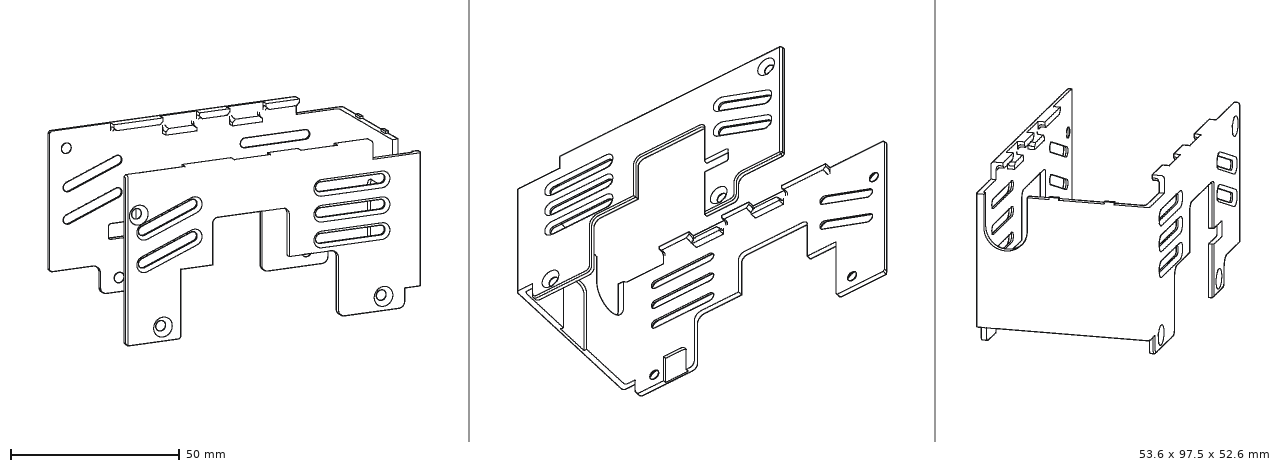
import cadquery as cq
WIDTH = 53.6
LENGTH = 97.5
HEIGHT = 52.65
WALL = 1.7
BACK_WALL = 1.95
INNER_HALF = WIDTH / 2 - WALL

BEND_RADIUS = 1.0
RIM_BEVEL = 0.5
FRONT_BEVEL = 0.6
TINY = 0.01

STEP_Y = LENGTH - 16.0
BACK_TOP = 47.3
BACK_BOTTOM = 6.0
REAR_LEG_BACK = LENGTH - 5.6
REAR_LEG_FRONT = LENGTH - 27.4
ARCH_BACK = LENGTH - 43.7
FRONT_LEG_BACK = 28.6
LOW_ARCH_TOP = 20.8
ARCH_TOP = 36.0
LEFT_NOTCH_Y = 16.9
LEFT_NOTCH_TOP = 9.1
RIGHT_NOTCH_Y = 18.0
RIGHT_NOTCH_TOP = 21.45
TOE_RADIUS = 1.95
RIGHT_TOE_RADIUS = 1.0
FRONT_ARCH_RADIUS = 1.6
REAR_ARCH_RADIUS = 2.1
LOW_ARCH_RADIUS = 2.6
NOTCH_RADIUS = 2.6

CLIP_SLOT_BOTTOM = 16.6
CLIP_SLOT_TOP = 21.45
CLIP_SLOT_END = 19.5
CLIP_SLOT_RADIUS = 0.8

VENT_WIDTH = 3.0
VENT_SINK = 1.1
SINK_TAPER = 45
REAR_VENT_LENGTH = 22.9
REAR_VENT_Y = LENGTH - 23.0
REAR_VENT_MID_Z = 32.7
REAR_VENT_PITCH = 8.0
FRONT_VENT_LENGTH = 20.5
FRONT_VENT_TILT = 20.5
FRONT_VENT_Y = 14.2
FRONT_VENT_LOW_Z = 27.7
FRONT_VENT_PITCH = 10.0
HOLE_DIAMETER = 3.2
HOLE_SINK = 1.5
LOW_HOLE_Z = 4.4
REAR_HOLE = (LENGTH - 12.6, LOW_HOLE_Z)
LEFT_HOLES = [REAR_HOLE, (23.0, LOW_HOLE_Z), (5.6, 46.7)]
RIGHT_HOLES = [REAR_HOLE, (12.1, LOW_HOLE_Z), (4.1, 40.1)]

TAB_REACH = 2.1
TAB_HEIGHT = 1.95
TAB_LEAD = 1.0
TAB_ROOT_RADIUS = 1.0
LOWER_TAB_TOP = 49.1
UPPER_TABS = [(20.2, 36.5), (48.5, 58.5), (70.5, STEP_Y)]
LOWER_TABS = [(37.3, 47.6), (59.4, 69.3)]

CABLE_X = 17.6
CABLE_WIDTH = 13.4
CABLE_RADIUS = CABLE_WIDTH / 2
CABLE_BOTTOM = 30.3
RECESS_DEPTH = 1.0
BACK_RECESS_WIDTH = 11.7
BACK_RECESS_TOP = 31.1
BACK_RECESS_RADIUS = 2.4
BUMP_CENTERS = (-14.3, 2.7)
BUMP_SIZE = (3.0, 1.0, 0.7)

LEG_RECESS_FRONT = LENGTH - 24.4
LEG_RECESS_BACK = LENGTH - 16.1
LEG_RECESS_TOP = 9.75
LEG_RECESS_RADIUS = 2.1


def box(x0, x1, y0, y1, z0, z1):
    """Block between two opposite corners."""
    return cq.Workplane("XY").box(x1 - x0, y1 - y0, z1 - z0, centered=False).translate((x0, y0, z0))


def side_plane(x):
    """Sketch plane facing +X whose axes are Y and Z."""
    return cq.Workplane("YZ", origin=(x, 0, 0))


def round_corner(plate, y, z, radius):
    """Round the corner of a side wall that stands at (y, z)."""
    corner = cq.selectors.BoxSelector((-WIDTH, y - TINY, z - TINY), (WIDTH, y + TINY, z + TINY))
    return plate.edges(corner).fillet(radius)


def side_wall(foot, foot_rounds):
    """Left side wall above the given front foot outline, which runs from the front end to the front leg."""
    outline = foot + [
        (FRONT_LEG_BACK, ARCH_TOP),
        (ARCH_BACK, ARCH_TOP),
        (ARCH_BACK, LOW_ARCH_TOP),
        (REAR_LEG_FRONT, LOW_ARCH_TOP),
        (REAR_LEG_FRONT, 0),
        (REAR_LEG_BACK, 0),
        (REAR_LEG_BACK, BACK_BOTTOM),
        (LENGTH, BACK_BOTTOM),
        (LENGTH, BACK_TOP),
        (STEP_Y, BACK_TOP),
        (STEP_Y, HEIGHT),
        (0, HEIGHT),
    ]
    plate = side_plane(-WIDTH / 2).polyline(outline).close().extrude(WALL)
    for y, z, radius in foot_rounds + [
        (FRONT_LEG_BACK, ARCH_TOP, FRONT_ARCH_RADIUS),
        (ARCH_BACK, ARCH_TOP, REAR_ARCH_RADIUS),
        (REAR_LEG_FRONT, LOW_ARCH_TOP, LOW_ARCH_RADIUS),
        (REAR_LEG_FRONT, 0, TOE_RADIUS),
        (REAR_LEG_BACK, 0, TOE_RADIUS),
    ]:
        plate = round_corner(plate, y, z, radius)
    return plate


def bevel_lower_rim(plate):
    """Bevel the outer rim of the lower edge, from the front end to the rear leg."""
    outer_x = -WIDTH / 2
    lower_rim = cq.selectors.BoxSelector(
        (outer_x - TINY, TINY, -TINY), (outer_x + TINY, LENGTH - TINY, ARCH_TOP + TINY)
    )
    back_edge = cq.selectors.BoxSelector(
        (outer_x - TINY, REAR_LEG_BACK + TINY, 0), (outer_x + TINY, LENGTH, BACK_BOTTOM + TINY)
    )
    return plate.edges(lower_rim - back_edge).chamfer(RIM_BEVEL)


def ease_top_and_front(plate):
    """Round the outer top edge, then bevel the front end except along the inner face."""
    plate = plate.edges(">Z and <X").fillet(BEND_RADIUS)
    return plate.faces("<Y").edges("not >X").chamfer(FRONT_BEVEL)


def add_guide_tabs(wall):
    """Add both rows of tabs: ends sloped and roots filleted on the side facing the gap."""
    inner_x = -INNER_HALF
    rows = [
        (UPPER_TABS, HEIGHT - TAB_HEIGHT, "<Z"),
        (LOWER_TABS, LOWER_TAB_TOP - TAB_HEIGHT, ">Z"),
    ]
    for spans, z0, gap_side in rows:
        z1 = z0 + TAB_HEIGHT
        for y0, y1 in spans:
            tab = box(inner_x, inner_x + TAB_REACH, y0, y1, z0, z1)
            tab = tab.faces(gap_side).edges("|X").chamfer(TAB_LEAD)
            if gap_side == "<Z":
                root_bottom, root_top = z0, z0 + TAB_LEAD
            else:
                root_bottom, root_top = z1 - TAB_LEAD, z1
            root = cq.selectors.BoxSelector(
                (inner_x - TINY, y0 + TINY, root_bottom - TINY), (inner_x + TINY, y1 - TINY, root_top + TINY)
            )
            wall = wall.union(tab).edges(root).fillet(TAB_ROOT_RADIUS)
    return wall


def vent(y, z, length, tilt):
    """Cutter for a vent slot through the left wall, flared towards the outside."""
    outer = side_plane(-WIDTH / 2).center(y, z)
    through = outer.slot2D(length, VENT_WIDTH, tilt).extrude(WALL)
    mouth = outer.slot2D(length + 2 * VENT_SINK, VENT_WIDTH + 2 * VENT_SINK, tilt)
    return through.union(mouth.extrude(VENT_SINK, taper=SINK_TAPER))


def vents():
    """Cutters for the level rear vents and the tilted front vents."""
    cutters = cq.Workplane("XY")
    for row in (-1, 0, 1):
        z = REAR_VENT_MID_Z + row * REAR_VENT_PITCH
        cutters = cutters.add(vent(REAR_VENT_Y, z, REAR_VENT_LENGTH, 0))
    for row in (0, 1):
        z = FRONT_VENT_LOW_Z + row * FRONT_VENT_PITCH
        cutters = cutters.add(vent(FRONT_VENT_Y, z, FRONT_VENT_LENGTH, FRONT_VENT_TILT))
    return cutters.combine()


def screw_holes(places):
    """Cutters for countersunk holes through the left wall."""
    outer = side_plane(-WIDTH / 2).pushPoints(places)
    through = outer.circle(HOLE_DIAMETER / 2).extrude(WALL)
    sink = outer.circle(HOLE_DIAMETER / 2 + HOLE_SINK).extrude(HOLE_SINK, taper=SINK_TAPER)
    return through.union(sink)


def left_side():
    """Left wall with its open slot, vents, holes and tabs."""
    foot = [
        (0, LEFT_NOTCH_TOP),
        (LEFT_NOTCH_Y, LEFT_NOTCH_TOP),
        (LEFT_NOTCH_Y, 0),
        (FRONT_LEG_BACK, 0),
    ]
    rounds = [(LEFT_NOTCH_Y, LEFT_NOTCH_TOP, NOTCH_RADIUS), (LEFT_NOTCH_Y, 0, TOE_RADIUS)]
    wall = ease_top_and_front(bevel_lower_rim(side_wall(foot, rounds)))
    slot = box(-WIDTH / 2, -INNER_HALF, CLIP_SLOT_END, FRONT_LEG_BACK, CLIP_SLOT_BOTTOM, CLIP_SLOT_TOP)
    slot = slot.faces("<Y").edges("|X").fillet(CLIP_SLOT_RADIUS)
    return add_guide_tabs(wall.cut(slot).cut(vents()).cut(screw_holes(LEFT_HOLES)))


def right_side():
    """Right wall, shaped as a left wall and then mirrored."""
    foot = [
        (0, 0),
        (RIGHT_NOTCH_Y, 0),
        (RIGHT_NOTCH_Y, RIGHT_NOTCH_TOP),
        (FRONT_LEG_BACK, RIGHT_NOTCH_TOP),
    ]
    rounds = [(RIGHT_NOTCH_Y, 0, RIGHT_TOE_RADIUS)]
    wall = ease_top_and_front(side_wall(foot, rounds))
    wall = wall.cut(vents()).cut(screw_holes(RIGHT_HOLES))
    recess = box(
        -INNER_HALF - RECESS_DEPTH,
        -INNER_HALF,
        LEG_RECESS_FRONT,
        LEG_RECESS_BACK,
        0,
        LEG_RECESS_TOP,
    )
    recess = recess.edges("|X and >Z and <Y").fillet(LEG_RECESS_RADIUS)
    return add_guide_tabs(wall.cut(recess)).mirror("YZ")


def back_wall():
    """Back wall, without its openings."""
    return box(-INNER_HALF, INNER_HALF, LENGTH - BACK_WALL, LENGTH, BACK_BOTTOM, BACK_TOP)


def cable_opening():
    """Cutter for the round-bottomed opening in the top of the back wall."""
    center_z = CABLE_BOTTOM + CABLE_RADIUS
    y0 = LENGTH - BACK_WALL - BEND_RADIUS
    shaft = box(CABLE_X - CABLE_RADIUS, CABLE_X + CABLE_RADIUS, y0, LENGTH, center_z, BACK_TOP)
    bottom = cq.Workplane("XZ", origin=(CABLE_X, LENGTH, center_z)).circle(CABLE_RADIUS).extrude(LENGTH - y0)
    return shaft.union(bottom)


def back_recess():
    """Cutter for the shallow recess inside the back wall, open at the bottom."""
    y0 = LENGTH - BACK_WALL
    half = BACK_RECESS_WIDTH / 2
    recess = box(-half, half, y0, y0 + RECESS_DEPTH, BACK_BOTTOM, BACK_RECESS_TOP)
    return recess.faces(">Z").edges("|Y").fillet(BACK_RECESS_RADIUS)


def round_bends(body, y):
    """Round the two upright edges, at the given Y, where the back wall meets the side walls."""
    at_y = cq.selectors.BoxSelector((-WIDTH, y - TINY, 0), (WIDTH, y + TINY, HEIGHT))
    return body.edges(at_y).edges("|Z").fillet(BEND_RADIUS)


def add_bumps(body):
    """Add the small bumps on the top edge of the back wall, flush with its outer face."""
    for x in BUMP_CENTERS:
        bump = cq.Workplane("XY").box(*BUMP_SIZE, centered=(True, False, False))
        body = body.union(bump.translate((x, LENGTH - BUMP_SIZE[1], BACK_TOP)))
    return body


guard = left_side().union(right_side()).union(back_wall()).clean()
guard = round_bends(guard, LENGTH)
guard = round_bends(guard, LENGTH - BACK_WALL)
guard = guard.cut(cable_opening()).cut(back_recess())
result = add_bumps(guard)